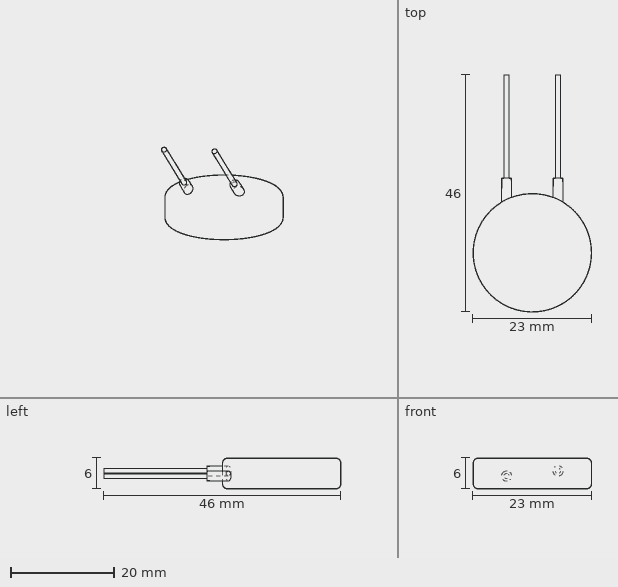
import cadquery as cq

body_diameter = 23.0
body_height = 6.0
body_edge_radius = 1.0

overall_length = 46.0
lead_spacing = 10.0
lead_diameter = 1.0
collar_diameter = 2.0
collar_projection = 3.0
collar_end_diameter = 1.9
collar_taper_length = 2.02
collar_end_radius = 0.15

body_radius = body_diameter / 2
collar_end_y = body_radius + collar_projection
taper_start_y = collar_end_y - collar_taper_length
lead_end_y = overall_length - body_radius
lead_height_offset = lead_diameter / 2


def rod(x, z, diameter, end_y):
    """Round rod along Y, from the middle of the body to end_y."""
    return (
        cq.Workplane("XZ", origin=(x, 0, z))
        .circle(diameter / 2)
        .extrude(-end_y)
    )


def lead(side):
    """Wire and its collar, tapered and rounded at the tip; side is -1 for the -X lead, +1 for the +X lead."""
    x = side * lead_spacing / 2
    z = body_height / 2 + side * lead_height_offset
    collar = (
        rod(x, z, collar_diameter, taper_start_y)
        .faces(">Y")
        .workplane(origin=(x, taper_start_y, z))
        .circle(collar_diameter / 2)
        .workplane(offset=collar_taper_length)
        .circle(collar_end_diameter / 2)
        .loft()
        .faces(">Y")
        .edges()
        .fillet(collar_end_radius)
    )
    wire = rod(x, z, lead_diameter, lead_end_y)
    return collar.union(wire)


body = (
    cq.Workplane("XY")
    .circle(body_radius)
    .extrude(body_height)
    .edges()
    .fillet(body_edge_radius)
)

result = body
for side in (-1, 1):
    result = result.union(lead(side))